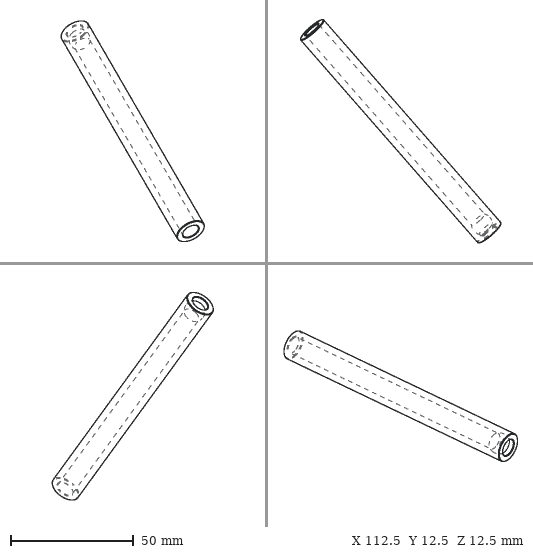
import cadquery as cq

length = 112.5
outer_diameter = 12.5
bore_diameter = 7.0
edge_chamfer = 0.3
pocket_diameter = 8.6
pocket_depth = 4.85

end_x = length / 2
bore_radius = bore_diameter / 2
mouth_radius = bore_radius + edge_chamfer
pocket_x = pocket_depth - end_x


def make_rod():
    """Solid round rod with both end edges chamfered."""
    rod = cq.Workplane("YZ").workplane(offset=-end_x).circle(outer_diameter / 2).extrude(length)
    return rod.faces("<X or >X").chamfer(edge_chamfer)


def make_bore():
    """Through bore that flares to a chamfered mouth at both ends."""
    half_profile = [
        (-end_x, 0),
        (-end_x, mouth_radius),
        (-end_x + edge_chamfer, bore_radius),
        (end_x - edge_chamfer, bore_radius),
        (end_x, mouth_radius),
        (end_x, 0),
    ]
    return cq.Workplane("XY").polyline(half_profile).close().revolve(360, (0, 0, 0), (1, 0, 0))


def make_pocket():
    """Ball with its poles on the tube axis, just inside the -X end."""
    ball = cq.Workplane("XY").sphere(pocket_diameter / 2)
    return ball.rotate((0, 0, 0), (0, 1, 0), 90).translate((pocket_x, 0, 0))


result = make_rod().cut(make_bore()).cut(make_pocket())